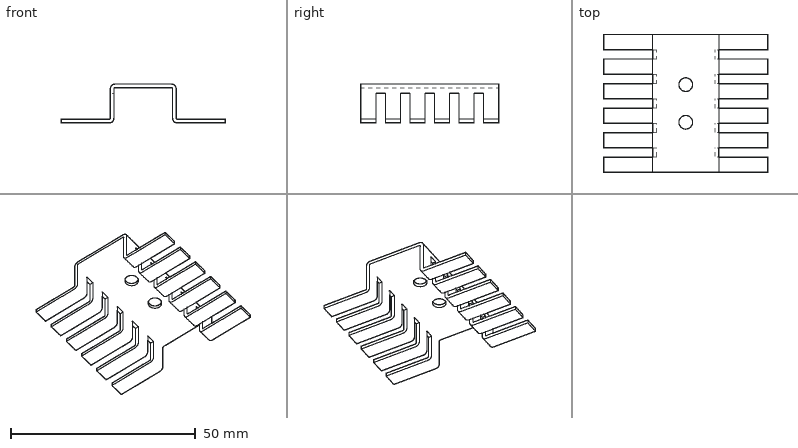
import cadquery as cq

overall_width = 44.45
overall_length = 37.35
overall_height = 10.55

thickness = 1.02
channel_width = 17.85
top_inner_radius = 0.25
foot_inner_radius = 0.22

finger_count = 6
slot_width = 2.5
web_height = 2.55

hole_count = 2
hole_diameter = 3.65
hole_spacing = 10.2

top_outer_radius = top_inner_radius + thickness
foot_outer_radius = foot_inner_radius + thickness
finger_width = (overall_length - (finger_count - 1) * slot_width) / finger_count
finger_pitch = finger_width + slot_width


def folded_sheet():
    """Hat section: a channel opening downwards, with a flat foot along each side."""
    foot_end = overall_width / 2
    leg_outer = channel_width / 2
    leg_inner = leg_outer - thickness
    top_bend_x = leg_outer - top_outer_radius
    top_bend_z = overall_height - top_outer_radius
    foot_bend_x = leg_outer + foot_inner_radius
    foot_bend_z = thickness + foot_inner_radius
    half_sheet = (
        cq.Workplane("XZ")
        .moveTo(0, overall_height)
        .lineTo(top_bend_x, overall_height)
        .radiusArc((leg_outer, top_bend_z), top_outer_radius)
        .lineTo(leg_outer, foot_bend_z)
        .radiusArc((foot_bend_x, thickness), -foot_inner_radius)
        .lineTo(foot_end, thickness)
        .lineTo(foot_end, 0)
        .lineTo(foot_bend_x, 0)
        .radiusArc((leg_inner, foot_bend_z), foot_outer_radius)
        .lineTo(leg_inner, top_bend_z)
        .radiusArc((top_bend_x, overall_height - thickness), -top_inner_radius)
        .lineTo(0, overall_height - thickness)
        .close()
        .extrude(overall_length / 2, both=True)
    )
    return half_sheet.union(half_sheet.mirror("YZ")).clean()


def finger_slots():
    """Slots between neighbouring fingers, running up both legs to the web under the top plate."""
    slot_height = overall_height - web_height
    return (
        cq.Workplane("XY")
        .rarray(0.45, finger_pitch, 1, finger_count - 1)
        .rect(overall_width, slot_width)
        .extrude(slot_height)
    )


def mounting_holes():
    """Round holes through the top plate, spaced along Y."""
    return (
        cq.Workplane("XY")
        .rarray(0.45, hole_spacing, 1, hole_count)
        .circle(hole_diameter / 2)
        .extrude(overall_height)
    )


result = folded_sheet().cut(finger_slots()).cut(mounting_holes())